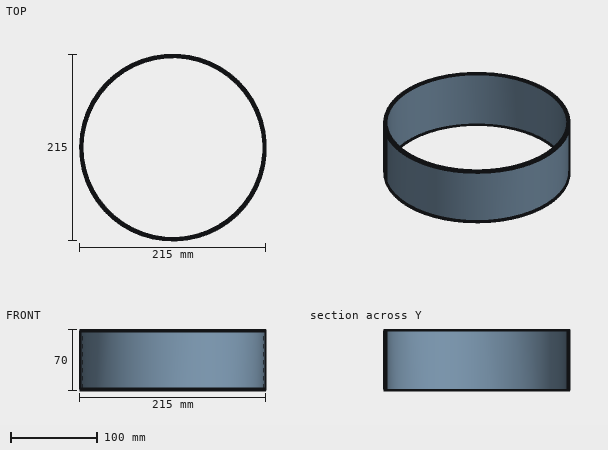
import cadquery as cq

outer_diameter = 215.0
wall = 2.5
height = 70.0
bevel_height = 2.0
bevel_depth = 0.6
inner_chamfer = 0.5
gap_angle = 1.0

outer_radius = outer_diameter / 2
inner_radius = outer_radius - wall


def split_ring():
    """Sweep the wall section about Z from the -X side, stopping short of a full turn."""
    outer_land = outer_radius - bevel_depth
    inner_land = inner_radius + inner_chamfer
    section = [
        (-inner_land, 0),
        (-outer_land, 0),
        (-outer_radius, bevel_height),
        (-outer_radius, height - bevel_height),
        (-outer_land, height),
        (-inner_land, height),
        (-inner_radius, height - inner_chamfer),
        (-inner_radius, inner_chamfer),
    ]
    axis_start = (0, 0)
    axis_end = (0, 1)
    profile = cq.Workplane("XZ").polyline(section).close()
    return profile.revolve(360 - gap_angle, axis_start, axis_end)


result = split_ring()